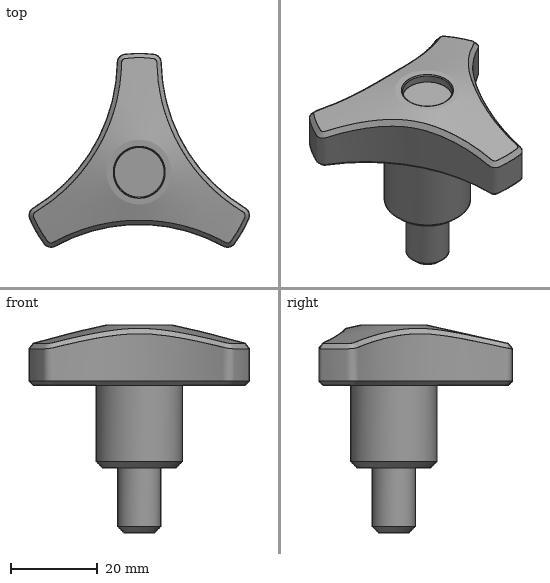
import cadquery as cq
import math


stud_diameter = 10.0
stud_length = 15.0
hub_diameter = 20.0
hub_length = 19.0
shaft_chamfer = 1.55

head_height = 14.0
arm_count = 3
first_scallop_angle = 30
arm_reach = 27.45
waist_radius = 12.05
side_arc_radius = 40.0
corner_radius = 2.0
edge_chamfer = 1.0

flat_radius = 7.5
slope_angle = 12.7

recess_radius = 5.75
recess_depth = 2.0
rim_bevel = 0.25

head_bottom = stud_length + hub_length
head_top = head_bottom + head_height


def make_stud():
    stud = cq.Workplane("XY").circle(stud_diameter / 2).extrude(stud_length)
    return stud.faces("<Z").chamfer(shaft_chamfer)


def make_hub():
    hub = cq.Workplane("XY", origin=(0, 0, stud_length)).circle(hub_diameter / 2).extrude(hub_length)
    return hub.faces("<Z").chamfer(shaft_chamfer)


def make_star():
    """Disc with a round scallop cut between each pair of arms."""
    base = cq.Workplane("XY", origin=(0, 0, head_bottom))
    scallops = base.polarArray(
        waist_radius + side_arc_radius, first_scallop_angle, 360, arm_count
    ).circle(side_arc_radius).extrude(head_height)
    star = base.circle(arm_reach).extrude(head_height).cut(scallops)
    return star.edges("|Z").fillet(corner_radius)


def make_crown():
    """Envelope of the head: a cylinder with a conical top around a flat centre."""
    rim_radius = arm_reach + edge_chamfer
    rim_drop = (rim_radius - flat_radius) * math.tan(math.radians(slope_angle))
    return (
        cq.Workplane("XZ")
        .moveTo(0, head_bottom)
        .lineTo(rim_radius, head_bottom)
        .lineTo(rim_radius, head_top - rim_drop)
        .lineTo(flat_radius, head_top)
        .lineTo(0, head_top)
        .close()
        .revolve(360, (0, 0, 0), (0, 1, 0))
    )


def make_head():
    head = make_star().intersect(make_crown())
    head = head.faces("<Z").chamfer(edge_chamfer)
    slope_outline = head.faces("%CONE").faces(">Z").edges("not(%CIRCLE and >Z)")
    return head.newObject(slope_outline.vals()).chamfer(edge_chamfer)


def make_recess():
    """Cutter for the recess: a cylinder that flares out at its upper end."""
    return (
        cq.Workplane("XZ")
        .moveTo(0, head_top - recess_depth)
        .lineTo(recess_radius, head_top - recess_depth)
        .lineTo(recess_radius, head_top - rim_bevel)
        .lineTo(recess_radius + rim_bevel, head_top)
        .lineTo(0, head_top)
        .close()
        .revolve(360, (0, 0, 0), (0, 1, 0))
    )


result = make_head().cut(make_recess()).union(make_hub()).union(make_stud())